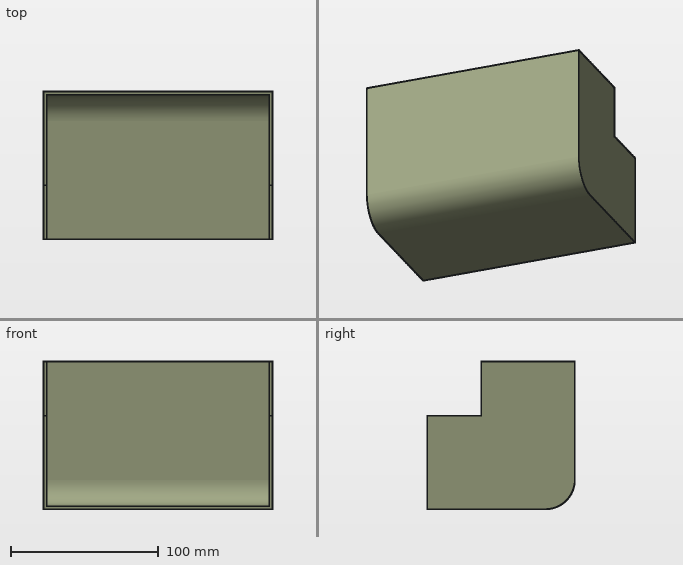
import cadquery as cq

length = 155.1
depth = 100.0
height = 100.0
leg_width = 63.4
wall = 2.2
outer_radius = 20.0
inner_radius = outer_radius - wall

inner_length = length - 2 * wall


def corner_body():
    """Solid L-shaped elbow with the rounded outer corner at the back and bottom."""
    outline = [
        (0, 0),
        (depth, 0),
        (depth, height),
        (depth - leg_width, height),
        (depth - leg_width, leg_width),
        (0, leg_width),
    ]
    body = cq.Workplane("YZ").polyline(outline).close().extrude(length / 2, both=True)
    return body.edges("|X and >Y and <Z").fillet(outer_radius)


def cavity():
    """Space between the end walls, open at the front, the top and the inside of the L."""
    block = cq.Workplane("XY").box(
        inner_length, depth - wall, height - wall, centered=(True, False, False)
    )
    block = block.translate((0, 0, wall))
    return block.edges("|X and >Y and <Z").fillet(inner_radius)


result = corner_body().cut(cavity())